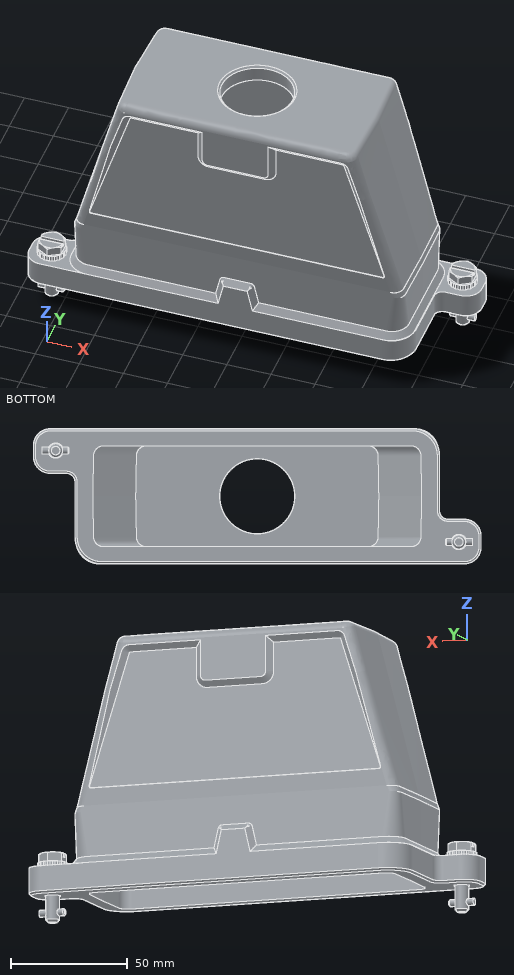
import cadquery as cq
import math

FLANGE_LENGTH = 156.3
FLANGE_WIDTH = 58.0
FLANGE_HEIGHT = 12.0
FLANGE_CORNER = 11.5
FOOT_CHAMFER = 1.0

OVERALL_LENGTH = 192.0
EAR_WIDTH = 19.2
EAR_CORNER = 7.3
EAR_INNER_RADIUS = 3.6
SCREW_X = 86.4
SCREW_Y = 19.5
SCREW_HOLE = 6.5

HOOD_TOP = 110.0
CROWN_BOTTOM = 86.4
WAIST_TOP = 37.0
COLLAR_TOP = 34.4
COLLAR_LENGTH = 150.5
COLLAR_WIDTH = 52.8
WAIST_TOP_LENGTH = 148.6
TOP_LENGTH = 109.8
COLLAR_FOOT_CORNER = 7.7
CORNER_RADIUS = 4.2
COLLAR_RIDGE = 0.4
TOP_RIDGE = 1.3
TOP_FILLET = 3.6
COLLAR_LEDGE = (FLANGE_WIDTH - COLLAR_WIDTH) / 2
COLLAR_BOTTOM = 15.0

WALL = 4.8
ROOF = 7.5
CABLE_HOLE = 32.0
CABLE_HOLE_CHAMFER = 1.0

PANEL_FLOOR_Y = 26.7
PANEL_BOTTOM = 44.7
PANEL_TOP = 102.7
PANEL_BOTTOM_HALF = 67.0
PANEL_TOP_HALF = 48.4
PANEL_CORNER = 0.8
TAB_HALF = 15.0
TAB_BOTTOM = 87.7
TAB_CORNER = 2.3
PANEL_WALL_TAPER = 50.0

PAD_BOTTOM_HALF = 12.3
PAD_BOTTOM = 3.8
PAD_TOP_HALF = 7.5
PAD_TOP = 24.8
PAD_CORNER = 2.0

HEAD_FLATS = 10.5
HEAD_TOP = 18.5
HEAD_CHAMFER_ANGLE = 30.0
SLOT_WIDTH = 1.7
SLOT_DEPTH = 1.7
SERRATED_TOP = 14.4
SERRATED_TIP = 12.9
SERRATED_ROOT = 12.3
TOOTH_COUNT = 18
SHANK_DIAMETER = 6.0
SHANK_BOTTOM = -11.5
SHANK_CHAMFER = 1.2
CROSS_PIN_DIAMETER = 3.0
CROSS_PIN_LENGTH = 11.5
CROSS_PIN_Z = -7.3
CROSS_PIN_CHAMFER = 0.5

HALF_TURNS = (0, 180)


def half_length_at(z):
    """Half length of the hood along its middle plane, at a height on its sloping ends."""
    slope = (WAIST_TOP_LENGTH - TOP_LENGTH) / 2 / (HOOD_TOP - WAIST_TOP)
    return WAIST_TOP_LENGTH / 2 - slope * (z - WAIST_TOP)


def hood_section(z, half_length, half_width, corner, ridge=0.0):
    """Half (Y > 0) of a rounded rectangle, with ends rising to a faint ridge at Y = 0."""
    end = half_length - ridge
    outline = (
        cq.Workplane("XY")
        .polyline([(half_length, 0), (end, half_width), (-end, half_width), (-half_length, 0)])
        .close()
        .val()
    )
    if corner > 0:
        corners = [v for v in outline.Vertices() if v.Y > half_width / 2]
        outline = outline.fillet2D(corner, corners)
    return outline.translate(cq.Vector(0, 0, z))


def hood_half(sections):
    return cq.Workplane(cq.Solid.makeLoft([hood_section(*s) for s in sections], True))


def both_halves(half):
    return half.union(half.mirror("XZ"))


def make_upper_half():
    """Sloping part of the hood above the collar: flaring waist, upright crown, rounded edges."""
    crown_half_width = FLANGE_WIDTH / 2
    ends = hood_half(
        [
            (WAIST_TOP, WAIST_TOP_LENGTH / 2, crown_half_width, 0, COLLAR_RIDGE),
            (HOOD_TOP, half_length_at(HOOD_TOP), crown_half_width, 0, TOP_RIDGE),
        ]
    )
    sides = (
        cq.Workplane("YZ")
        .polyline(
            [
                (0, WAIST_TOP),
                (COLLAR_WIDTH / 2, WAIST_TOP),
                (crown_half_width, CROWN_BOTTOM),
                (crown_half_width, HOOD_TOP),
                (0, HOOD_TOP),
            ]
        )
        .close()
        .extrude(COLLAR_LENGTH, both=True)
    )
    half = ends.intersect(sides)
    for end in (1, -1):
        corner_zone = cq.selectors.BoxSelector(
            (end * TOP_LENGTH / 3, COLLAR_WIDTH / 3, WAIST_TOP + 2),
            (end * COLLAR_LENGTH, FLANGE_WIDTH, HOOD_TOP - 2),
        )
        half = half.edges(corner_zone).edges("not |X").fillet(CORNER_RADIUS)
    rim_zone = cq.selectors.BoxSelector(
        (-TOP_LENGTH, 0.2, HOOD_TOP - 0.2), (TOP_LENGTH, FLANGE_WIDTH, HOOD_TOP + 0.2)
    )
    return half.edges(rim_zone).fillet(TOP_FILLET)


def make_hood():
    collar = (COLLAR_LENGTH / 2, COLLAR_WIDTH / 2)
    collar_half = hood_half(
        [
            (COLLAR_BOTTOM, *collar, COLLAR_FOOT_CORNER),
            (COLLAR_TOP, *collar, CORNER_RADIUS, COLLAR_RIDGE),
            (WAIST_TOP, WAIST_TOP_LENGTH / 2, COLLAR_WIDTH / 2, CORNER_RADIUS, COLLAR_RIDGE),
        ]
    )
    return both_halves(collar_half.union(make_upper_half()))


def make_collar_ledge():
    """Sloping band between the flange and the hood collar."""
    half = hood_half(
        [
            (
                FLANGE_HEIGHT,
                COLLAR_LENGTH / 2 + COLLAR_LEDGE,
                FLANGE_WIDTH / 2,
                COLLAR_FOOT_CORNER + COLLAR_LEDGE,
            ),
            (COLLAR_BOTTOM, COLLAR_LENGTH / 2, COLLAR_WIDTH / 2, COLLAR_FOOT_CORNER),
        ]
    )
    return both_halves(half)


def make_flange():
    """Flange with both ears as one plate, its screw holes and its chamfered underside."""
    plate = (
        cq.Workplane("XY")
        .rect(FLANGE_LENGTH, FLANGE_WIDTH)
        .extrude(FLANGE_HEIGHT)
    )
    ear_inner_y = FLANGE_WIDTH / 2 - EAR_WIDTH
    for angle in HALF_TURNS:
        ear = (
            cq.Workplane("XY")
            .moveTo(0, ear_inner_y)
            .lineTo(OVERALL_LENGTH / 2, ear_inner_y)
            .lineTo(OVERALL_LENGTH / 2, FLANGE_WIDTH / 2)
            .lineTo(0, FLANGE_WIDTH / 2)
            .close()
            .extrude(FLANGE_HEIGHT)
            .edges("|Z and >X")
            .fillet(EAR_CORNER)
        )
        plate = plate.union(ear.rotate((0, 0, 0), (0, 0, 1), angle))
    half_length = FLANGE_LENGTH / 2
    half_width = FLANGE_WIDTH / 2

    def upright_edges(x, y):
        return cq.selectors.BoxSelector((x - 0.2, y - 0.2, -2), (x + 0.2, y + 0.2, FLANGE_HEIGHT + 2))

    for side in (1, -1):
        plate = plate.edges(upright_edges(-side * half_length, side * half_width)).fillet(FLANGE_CORNER)
        plate = plate.edges(upright_edges(side * half_length, side * ear_inner_y)).fillet(EAR_INNER_RADIUS)
    screw_places = [(SCREW_X, SCREW_Y), (-SCREW_X, -SCREW_Y)]
    plate = plate.faces("<Z").edges().chamfer(FOOT_CHAMFER)
    holes = cq.Workplane("XY").pushPoints(screw_places).circle(SCREW_HOLE / 2).extrude(FLANGE_HEIGHT)
    return plate.cut(holes)


def side_plane(y):
    """Sketch plane facing -Y, at a distance y from the middle plane, with Z up."""
    return cq.Workplane("XZ", origin=(0, -y, 0))


def make_pad():
    """Trapezoid on the -Y side, with bevelled edges falling to the flange face."""
    outline = (
        cq.Sketch()
        .polygon(
            [
                (-PAD_BOTTOM_HALF, PAD_BOTTOM),
                (PAD_BOTTOM_HALF, PAD_BOTTOM),
                (PAD_TOP_HALF, PAD_TOP),
                (-PAD_TOP_HALF, PAD_TOP),
                (-PAD_BOTTOM_HALF, PAD_BOTTOM),
            ]
        )
        .vertices(">Y")
        .fillet(PAD_CORNER)
    )
    return side_plane(COLLAR_WIDTH / 2).placeSketch(outline).extrude(COLLAR_LEDGE, taper=45)


def make_panel():
    """Cutter for the sunken panel on the -Y side; the tab is left standing."""
    depth = FLANGE_WIDTH / 2 - PANEL_FLOOR_Y
    wall_run = depth * math.tan(math.radians(PANEL_WALL_TAPER))
    field = (
        cq.Sketch()
        .polygon(
            [
                (-PANEL_BOTTOM_HALF, PANEL_BOTTOM),
                (PANEL_BOTTOM_HALF, PANEL_BOTTOM),
                (PANEL_TOP_HALF, PANEL_TOP),
                (-PANEL_TOP_HALF, PANEL_TOP),
                (-PANEL_BOTTOM_HALF, PANEL_BOTTOM),
            ]
        )
        .vertices()
        .fillet(PANEL_CORNER)
    )
    panel = side_plane(PANEL_FLOOR_Y).placeSketch(field).extrude(depth, taper=-PANEL_WALL_TAPER)
    tab_foot_half = TAB_HALF + wall_run
    tab_foot_bottom = TAB_BOTTOM - wall_run
    tab_outline = (
        cq.Sketch()
        .push([(0, (tab_foot_bottom + HOOD_TOP) / 2)])
        .rect(2 * tab_foot_half, HOOD_TOP - tab_foot_bottom)
        .reset()
        .vertices("<Y")
        .fillet(TAB_CORNER + wall_run)
    )
    tab = side_plane(PANEL_FLOOR_Y).placeSketch(tab_outline).extrude(depth, taper=PANEL_WALL_TAPER)
    return panel.cut(tab)


def make_cavity():
    """Hollow inside the hood, open at the bottom."""
    half_width = COLLAR_WIDTH / 2 - WALL
    ceiling = HOOD_TOP - ROOF
    half = hood_half(
        [
            (0, COLLAR_LENGTH / 2 - WALL, half_width, CORNER_RADIUS, COLLAR_RIDGE),
            (COLLAR_TOP, COLLAR_LENGTH / 2 - WALL, half_width, CORNER_RADIUS, COLLAR_RIDGE),
            (ceiling, half_length_at(ceiling) - WALL, half_width, CORNER_RADIUS, COLLAR_RIDGE),
        ]
    )
    return both_halves(half)


def make_housing():
    housing = make_flange().union(make_collar_ledge()).union(make_hood())
    pad = make_pad()
    panel = make_panel()
    for angle in HALF_TURNS:
        housing = housing.union(pad.rotate((0, 0, 0), (0, 0, 1), angle))
        housing = housing.cut(panel.rotate((0, 0, 0), (0, 0, 1), angle))
    housing = housing.cut(make_cavity())
    cable_hole = cq.Workplane("XY", origin=(0, 0, HOOD_TOP)).circle(CABLE_HOLE / 2).extrude(-2 * ROOF)
    hole_mouth = cq.Solid.makeCone(
        CABLE_HOLE / 2,
        CABLE_HOLE / 2 + CABLE_HOLE_CHAMFER,
        CABLE_HOLE_CHAMFER,
        cq.Vector(0, 0, HOOD_TOP - CABLE_HOLE_CHAMFER),
    )
    return housing.cut(cable_hole).cut(cq.Workplane(hole_mouth))


def make_head():
    """Slotted hexagon head with two corners on the Y axis and its top corners turned off."""
    height = HEAD_TOP - SERRATED_TOP
    corner_radius = HEAD_FLATS / 2 / math.cos(math.radians(30))
    chamfer_run = corner_radius - HEAD_FLATS / 2
    chamfer_drop = chamfer_run * math.tan(math.radians(HEAD_CHAMFER_ANGLE))
    hexagon = (
        cq.Workplane("XY", origin=(0, 0, SERRATED_TOP))
        .polygon(6, 2 * corner_radius)
        .extrude(height)
        .rotate((0, 0, 0), (0, 0, 1), 90)
    )
    turned = (
        cq.Workplane("XY", origin=(0, 0, SERRATED_TOP))
        .circle(corner_radius)
        .extrude(height)
        .faces(">Z")
        .chamfer(chamfer_drop, chamfer_run)
    )
    slot = cq.Workplane("XY", origin=(0, 0, HEAD_TOP - SLOT_DEPTH)).rect(
        2 * HEAD_FLATS, SLOT_WIDTH
    ).extrude(SLOT_DEPTH)
    return hexagon.intersect(turned).cut(slot)


def make_serrated_collar():
    points = []
    for i in range(2 * TOOTH_COUNT):
        radius = (SERRATED_ROOT if i % 2 else SERRATED_TIP) / 2
        angle = math.pi * i / TOOTH_COUNT
        points.append((radius * math.cos(angle), radius * math.sin(angle)))
    return (
        cq.Workplane("XY", origin=(0, 0, FLANGE_HEIGHT))
        .polyline(points)
        .close()
        .extrude(SERRATED_TOP - FLANGE_HEIGHT)
    )


def make_screw():
    shank = (
        cq.Workplane("XY", origin=(0, 0, SHANK_BOTTOM))
        .circle(SHANK_DIAMETER / 2)
        .extrude(FLANGE_HEIGHT - SHANK_BOTTOM)
        .faces("<Z")
        .chamfer(SHANK_CHAMFER)
    )
    cross_pin = (
        cq.Workplane("YZ", origin=(-CROSS_PIN_LENGTH / 2, 0, CROSS_PIN_Z))
        .circle(CROSS_PIN_DIAMETER / 2)
        .extrude(CROSS_PIN_LENGTH)
        .faces("<X")
        .chamfer(CROSS_PIN_CHAMFER)
    )
    screw = make_serrated_collar().union(make_head()).union(shank).union(cross_pin)
    return screw.translate((SCREW_X, SCREW_Y, 0))


housing = make_housing()
screws = []
for turn in HALF_TURNS:
    screws.append(make_screw().rotate((0, 0, 0), (0, 0, 1), turn).val())

result = cq.Compound.makeCompound([housing.val(), *screws])